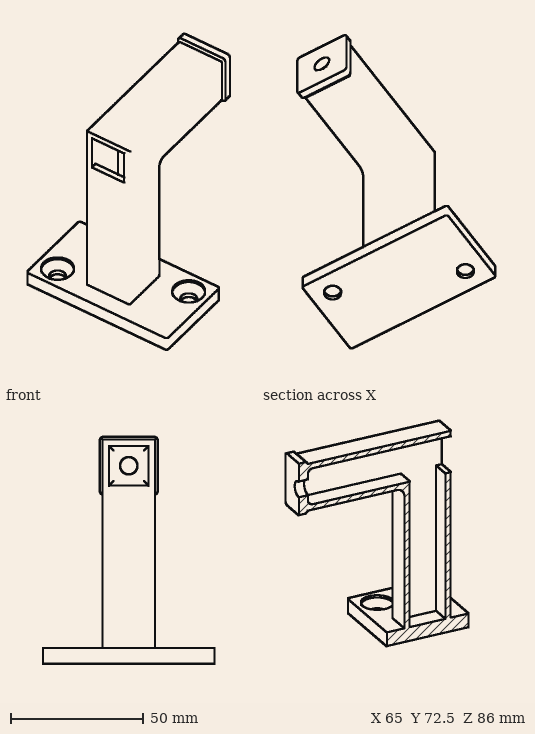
import cadquery as cq

PLATE_LENGTH = 65.0
PLATE_WIDTH = 35.0
PLATE_THICKNESS = 6.0
PLATE_CORNER_RADIUS = 1.0

SCREW_HOLE_DIAMETER = 6.5
SCREW_HEAD_DIAMETER = 12.5
SCREW_HEAD_RECESS = 1.0
SCREW_OFFSET_X = 24.0
SCREW_OFFSET_Y = 9.0
COUNTERSINK_DEPTH = (SCREW_HEAD_DIAMETER - SCREW_HOLE_DIAMETER) / 2

TUBE_SIZE = 20.0
TUBE_EDGE_RADIUS = 0.5
ELBOW_INNER_RADIUS = 3.0
BORE_SIZE = 15.0
BORE_END_RADIUS = 2.0

OVERALL_HEIGHT = 86.0
OVERALL_DEPTH = 72.5
CAP_LIP = 1.0
CAP_RIM_THICKNESS = 3.0

TUBE_HALF = TUBE_SIZE / 2
TUBE_TOP = OVERALL_HEIGHT - CAP_LIP
ARM_BOTTOM = TUBE_TOP - TUBE_SIZE
ARM_AXIS_Z = TUBE_TOP - TUBE_HALF
CAP_SIZE = TUBE_SIZE + 2 * CAP_LIP
CAP_EDGE_RADIUS = TUBE_EDGE_RADIUS + CAP_LIP
CAP_BACK_Y = OVERALL_DEPTH - PLATE_WIDTH / 2
CAP_FRONT_Y = CAP_BACK_Y - CAP_RIM_THICKNESS - CAP_LIP


def make_plate():
    plate = cq.Workplane("XY").box(
        PLATE_LENGTH, PLATE_WIDTH, PLATE_THICKNESS, centered=(True, True, False)
    )
    return plate.edges("|Z").fillet(PLATE_CORNER_RADIUS)


def make_screw_hole(x, y):
    """Through hole whose conical seat sits below a short head recess."""
    hole_radius = SCREW_HOLE_DIAMETER / 2
    head_radius = SCREW_HEAD_DIAMETER / 2
    seat_top = PLATE_THICKNESS - SCREW_HEAD_RECESS
    half_section = (
        cq.Workplane("XZ")
        .moveTo(0, 0)
        .lineTo(hole_radius, 0)
        .lineTo(hole_radius, seat_top - COUNTERSINK_DEPTH)
        .lineTo(head_radius, seat_top)
        .lineTo(head_radius, PLATE_THICKNESS)
        .lineTo(0, PLATE_THICKNESS)
        .close()
    )
    return half_section.revolve(360, (0, 0, 0), (0, 1, 0)).translate((x, y, 0))


def make_tube():
    """Solid L-shaped outside of the tube, with its long edges rounded."""
    elbow = (
        cq.Workplane("YZ")
        .moveTo(-TUBE_HALF, PLATE_THICKNESS)
        .lineTo(TUBE_HALF, PLATE_THICKNESS)
        .lineTo(TUBE_HALF, ARM_BOTTOM)
        .lineTo(CAP_FRONT_Y, ARM_BOTTOM)
        .lineTo(CAP_FRONT_Y, TUBE_TOP)
        .lineTo(-TUBE_HALF, TUBE_TOP)
        .close()
        .extrude(TUBE_HALF, both=True)
    )
    inner_corner = cq.selectors.NearestToPointSelector((0, TUBE_HALF, ARM_BOTTOM))
    elbow = elbow.edges("|X").edges(inner_corner).fillet(ELBOW_INNER_RADIUS)
    side_edges = elbow.faces("<X or >X").edges("not(<Z or >Y)")
    return side_edges.fillet(TUBE_EDGE_RADIUS)


def make_cap():
    """Rounded square block with its tube-side rim chamfered down to the tube."""
    cap = (
        cq.Workplane("XY")
        .box(CAP_SIZE, CAP_BACK_Y - CAP_FRONT_Y, CAP_SIZE, centered=(True, False, True))
        .edges("|Y")
        .fillet(CAP_EDGE_RADIUS)
        .faces("<Y")
        .chamfer(CAP_LIP)
    )
    return cap.translate((0, CAP_FRONT_Y, ARM_AXIS_Z))


def make_post_bore():
    bore_top = ARM_AXIS_Z + BORE_SIZE / 2
    return (
        cq.Workplane("XY")
        .workplane(offset=PLATE_THICKNESS)
        .rect(BORE_SIZE, BORE_SIZE)
        .extrude(bore_top - PLATE_THICKNESS)
    )


def make_arm_bore():
    """Square bore open at the elbow, with a rounded floor against the cap."""
    bore = cq.Workplane("XY").box(
        BORE_SIZE, CAP_FRONT_Y + TUBE_HALF, BORE_SIZE, centered=(True, False, True)
    )
    bore = bore.faces(">Y").edges().fillet(BORE_END_RADIUS)
    return bore.translate((0, -TUBE_HALF, ARM_AXIS_Z))


def make_cap_hole():
    hole = cq.Workplane("XZ").circle(SCREW_HOLE_DIAMETER / 2).extrude(-CAP_BACK_Y)
    return hole.translate((0, 0, ARM_AXIS_Z))


result = make_plate().union(make_tube()).union(make_cap())
result = result.cut(make_post_bore()).cut(make_arm_bore()).cut(make_cap_hole())
for side in (-1, 1):
    result = result.cut(make_screw_hole(side * SCREW_OFFSET_X, side * SCREW_OFFSET_Y))